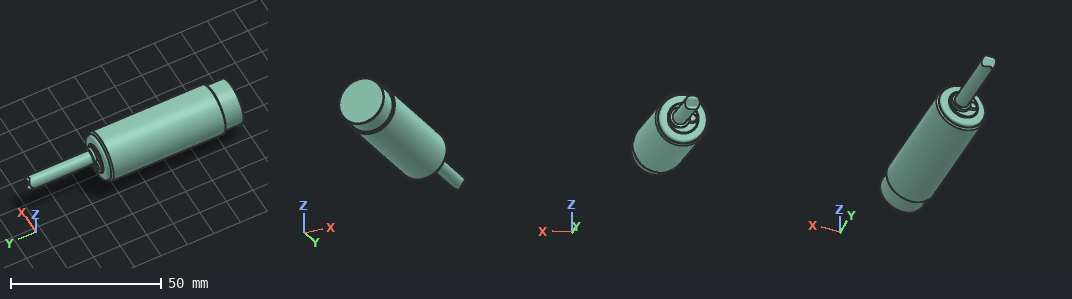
import cadquery as cq

total_length = 76.6

sleeve_diameter = 18.0
sleeve_front_y = 7.05
sleeve_rear_y = 50.1
sleeve_front_chamfer = 0.4
sleeve_rear_chamfer = 0.6

core_diameter = 16.4
core_rear_y = 51.3
nose_chamfer = 0.2
core_rear_fillet = 0.85

boss_diameter = 10.5
boss_top_y = 51.85
boss_chamfer = 0.3

cable_offset = 1.3
cable_diameter = 5.0
collar_diameter = 6.9
collar_top_y = 52.9
collar_edge_y = 52.55
collar_top_diameter = 6.75

key_base_width = 3.2
key_end_x = -4.7
key_taper_degrees = 30

break_top_depth = 0.85
break_trough_depth = 1.45
break_peak_z = 1.5
break_trough_z = -1.0


def cylinder(diameter, start_y, end_y, center_x=0):
    """Solid cylinder along +Y."""
    plane = cq.Plane(origin=(center_x, start_y, 0), xDir=(1, 0, 0), normal=(0, 1, 0))
    return cq.Workplane(plane).circle(diameter / 2).extrude(end_y - start_y)


def make_sleeve():
    """Chamfered tube around the core."""
    tube = cylinder(sleeve_diameter, sleeve_front_y, sleeve_rear_y)
    tube = tube.faces("<Y").chamfer(sleeve_front_chamfer)
    tube = tube.faces(">Y").chamfer(sleeve_rear_chamfer)
    return tube.cut(cylinder(core_diameter, sleeve_front_y, sleeve_rear_y))


def make_collar():
    """Round collar at the foot of the cable, with a chamfered top edge."""
    collar = cylinder(collar_diameter, boss_top_y, collar_top_y, cable_offset)
    edge_height = collar_top_y - collar_edge_y
    edge_inset = (collar_diameter - collar_top_diameter) / 2
    return collar.faces(">Y").chamfer(edge_height, edge_inset)


def make_key():
    """Round-ended key with sloping sides, level with the edge of the collar."""
    key_length = cable_offset - key_end_x
    plane = cq.Plane(
        origin=(key_end_x + key_length / 2, boss_top_y, 0), xDir=(1, 0, 0), normal=(0, 1, 0)
    )
    key_height = collar_edge_y - boss_top_y
    key = cq.Workplane(plane).slot2D(key_length, key_base_width)
    return key.extrude(key_height, taper=key_taper_degrees)


def make_cable():
    """Cable whose free end is cut along a wave that runs through it in X."""
    radius = cable_diameter / 2
    cable = cylinder(cable_diameter, boss_top_y, total_length, cable_offset)
    beyond_tip_y = total_length + radius
    waste = (
        cq.Workplane("YZ", origin=(cable_offset, 0, 0))
        .moveTo(total_length - break_top_depth, radius)
        .spline(
            [
                (total_length, break_peak_z),
                (total_length - break_trough_depth, break_trough_z),
                (total_length, -radius),
            ],
            includeCurrent=True,
        )
        .lineTo(beyond_tip_y, -radius)
        .lineTo(beyond_tip_y, radius)
        .close()
        .extrude(cable_diameter, both=True)
    )
    return cable.cut(waste)


def make_core():
    """Core with its nose, boss, collar, key and cable."""
    core = cylinder(core_diameter, 0, core_rear_y)
    core = core.faces("<Y").chamfer(nose_chamfer)
    core = core.faces(">Y").edges().fillet(core_rear_fillet)
    boss = cylinder(boss_diameter, core_rear_y, boss_top_y).faces(">Y").chamfer(boss_chamfer)
    return core.union(boss).union(make_key()).union(make_collar()).union(make_cable())


sleeve = make_sleeve()
core = make_core()

result = cq.Compound.makeCompound([sleeve.val(), core.val()])